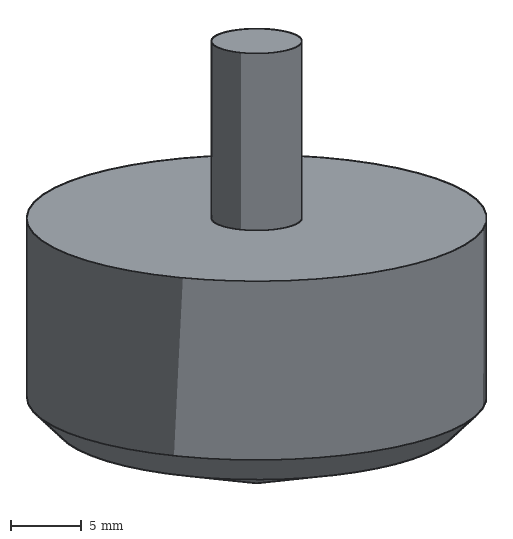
import cadquery as cq

total_height = 32.5
body_diameter = 32.5
stud_diameter = 6.4
stud_length = 13.0
chamfer_size = 2.0
cone_height = 4.35

body_radius = body_diameter / 2
stud_radius = stud_diameter / 2
cone_radius = body_radius - chamfer_size
chamfer_top = cone_height + chamfer_size
body_top = total_height - stud_length

half_profile = (
    cq.Workplane("XZ")
    .moveTo(0, 0)
    .lineTo(cone_radius, cone_height)
    .lineTo(body_radius, chamfer_top)
    .lineTo(body_radius, body_top)
    .lineTo(stud_radius, body_top)
    .lineTo(stud_radius, total_height)
    .lineTo(0, total_height)
    .close()
)

result = half_profile.revolve(360, (0, 0, 0), (0, 1, 0))